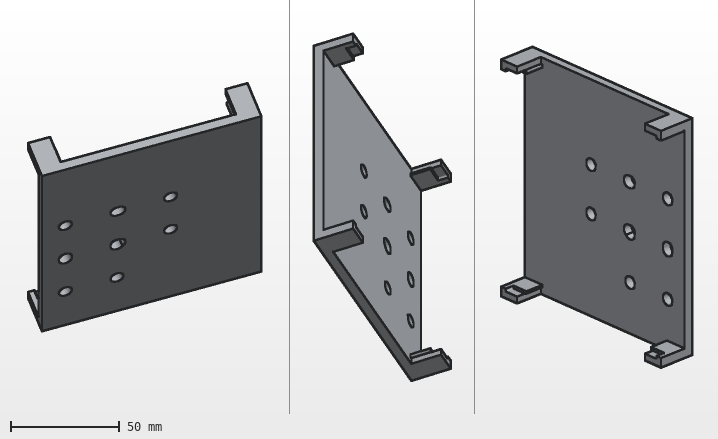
import cadquery as cq

height = 120.2
width = 106.4
depth = 20.0
thickness = 4.9

arm_width = 10.7
arm_thickness = thickness

lip_overhang = 1.1
round_radius = 0.6
step_height = 1.5
notch_length = 4.9
notch_side_wall = 3.1

hole_diameter = 6.3
hole_pitch = 25.0
group_shift = 26.0
first_hole_y = 9.1
first_hole_z = 16.8

front_x = -depth / 2
back_x = depth / 2
plate_front_x = back_x - thickness
outer_y = width / 2
outer_z = height / 2
arm_inner_y = outer_y - arm_width
arm_face_z = outer_z - arm_thickness
step_z = arm_face_z + step_height


def box_between(low, high):
    """Axis-aligned box spanning two opposite corners."""
    sizes = [b - a for a, b in zip(low, high)]
    return cq.Workplane("XY").box(*sizes, centered=False).translate(low)


def make_arm():
    """Arm at the +Y, +Z corner."""
    arm = box_between((front_x, arm_inner_y, arm_face_z), (back_x, outer_y, outer_z))
    notch = box_between(
        (front_x, arm_inner_y, arm_face_z),
        (front_x + notch_length, outer_y - notch_side_wall, step_z),
    )
    notch = notch.edges(">Y and >Z").fillet(round_radius)
    lip = box_between(
        (front_x + notch_length, arm_inner_y - lip_overhang, arm_face_z),
        (plate_front_x, arm_inner_y, step_z),
    )
    lip = lip.edges("<Y and >Z").fillet(round_radius)
    return arm.cut(notch).union(lip)


def make_hole_group(start_y, start_z):
    """Four cylinders on a square, running toward -Y and -Z from the start."""
    pitch_steps = (0, hole_pitch)
    centers = [(start_y - dy, start_z - dz) for dy in pitch_steps for dz in pitch_steps]
    return (
        cq.Workplane("YZ", origin=(plate_front_x, 0, 0))
        .pushPoints(centers)
        .circle(hole_diameter / 2)
        .extrude(thickness)
    )


result = box_between((plate_front_x, -outer_y, -outer_z), (back_x, outer_y, outer_z))

upper_left_arm = make_arm()
upper_arms = upper_left_arm.union(upper_left_arm.mirror("XZ"))
result = result.union(upper_arms).union(upper_arms.mirror("XY"))

for y_shift, z_shift in ((0, 0), (group_shift, 0), (group_shift, group_shift)):
    result = result.cut(make_hole_group(first_hole_y - y_shift, first_hole_z - z_shift))